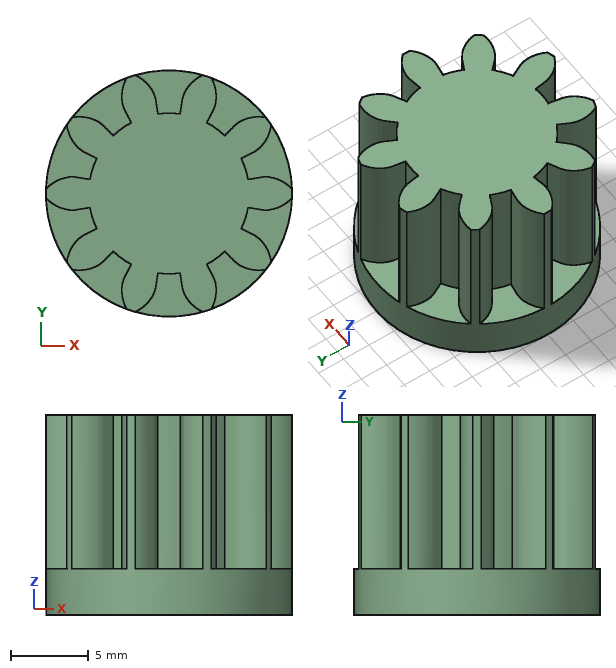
import cadquery as cq
import math

outer_radius = 8
total_height = 13.0
base_height = 3.0
gear_height = total_height - base_height

tooth_count = 10
root_radius = 5.22
root_half_width = 0.91
land_start = 6.11
land_end = 6.46
widest_half_width = 1.07
flank_middle = 7.2
flank_half_width = 0.86
tip_half_width = 0.29


def tooth(angle):
    """One leaf-shaped tooth, running from the axis outward along the given angle."""
    root_x = math.sqrt(root_radius**2 - root_half_width**2)
    tip_x = math.sqrt(outer_radius**2 - tip_half_width**2)
    return (
        cq.Workplane("XY")
        .workplane(offset=base_height)
        .moveTo(0, -root_half_width)
        .lineTo(root_x, -root_half_width)
        .lineTo(land_start, -widest_half_width)
        .lineTo(land_end, -widest_half_width)
        .threePointArc((flank_middle, -flank_half_width), (tip_x, -tip_half_width))
        .threePointArc((outer_radius, 0), (tip_x, tip_half_width))
        .threePointArc((flank_middle, flank_half_width), (land_end, widest_half_width))
        .lineTo(land_start, widest_half_width)
        .lineTo(root_x, root_half_width)
        .lineTo(0, root_half_width)
        .close()
        .extrude(gear_height)
        .rotate((0, 0, 0), (0, 0, 1), angle)
    )


base = cq.Workplane("XY").circle(outer_radius).extrude(base_height)
result = base.faces(">Z").workplane().circle(root_radius).extrude(gear_height)

for index in range(tooth_count):
    result = result.union(tooth(index * 360 / tooth_count))